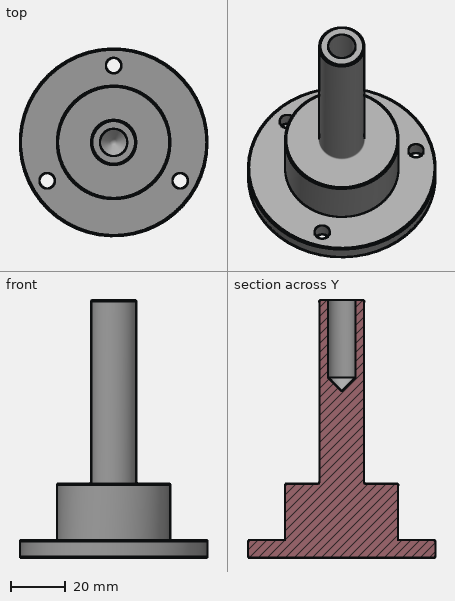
import cadquery as cq
import math

total_height = 94
flange_thickness = 6.5
boss_top = 27.1

flange_diameter = 68.5
boss_diameter = 41.5
shaft_diameter = 16.5

edge_chamfer = 0.5
foot_fillet = 0.5

bore_diameter = 10.0
bore_depth = 28.2
drill_point_angle = 90

mount_hole_diameter = 5.5
mount_hole_count = 3
mount_circle_radius = 28.0
first_hole_angle = 90


def cylinder(diameter, bottom, top):
    """Vertical cylinder on the Z axis between two heights."""
    return cq.Workplane("XY").workplane(offset=bottom).circle(diameter / 2).extrude(top - bottom)


def cone(bottom_radius, top_radius, bottom, top):
    """Cone or cone frustum on the Z axis between two heights."""
    height = top - bottom
    return cq.Workplane(cq.Solid.makeCone(bottom_radius, top_radius, height, pnt=cq.Vector(0, 0, bottom)))


flange = cylinder(flange_diameter, 0, flange_thickness).edges().chamfer(edge_chamfer)
boss = cylinder(boss_diameter, 0, boss_top).faces(">Z").edges().chamfer(edge_chamfer)
shaft = cylinder(shaft_diameter, 0, total_height).faces(">Z").edges().chamfer(edge_chamfer)

body = flange.union(boss).union(shaft)

boss_face_rims = cq.selectors.BoxSelector(
    (-shaft_diameter, -shaft_diameter, boss_top - foot_fillet / 2),
    (shaft_diameter, shaft_diameter, boss_top + foot_fillet / 2),
)
foot_edge = body.edges(boss_face_rims).edges(cq.selectors.RadiusNthSelector(0))
body = foot_edge.fillet(foot_fillet)

bore_floor = total_height - bore_depth
bore_radius = bore_diameter / 2
point_depth = bore_radius / math.tan(math.radians(drill_point_angle / 2))
bore = cylinder(bore_diameter, bore_floor, total_height)
drill_point = cone(0, bore_radius, bore_floor - point_depth, bore_floor)
body = body.cut(bore).cut(drill_point)

mount_holes = (
    cq.Workplane("XY")
    .polarArray(mount_circle_radius, first_hole_angle, 360, mount_hole_count)
    .circle(mount_hole_diameter / 2)
    .extrude(flange_thickness)
)

result = body.cut(mount_holes)